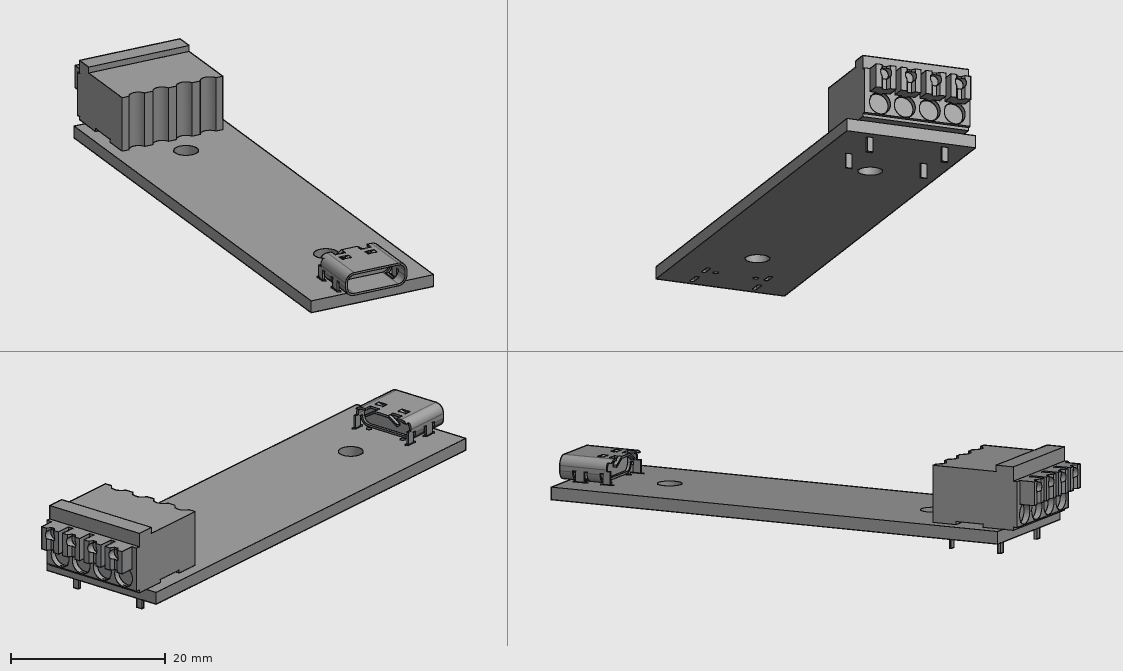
import cadquery as cq

part_length = 69.7

board_start = 4.1
board_end = 68.7
board_width = 18.0
board_thickness = 1.7
mounting_hole_diameter = 3.2
mounting_hole_positions = (18.0, 56.05)
locating_hole_diameter = 0.7
locating_hole_x = 63.4
locating_hole_spacing = 5.6

pole_count = 4
pole_pitch = 3.5
block_start = 2.65
block_end = 14.3
block_width = 14.8
block_height = 7.5
ridge_height = 8.4
ridge_end = 5.15
face_plate_start = 2.1
face_plate_bottom = 0.4
underside_notch_start = 7.05
underside_notch_end = 10.95
underside_notch_height = 0.4
scallop_chord = 2.3
scallop_depth = 0.8

wire_hole_radius = 1.45
wire_hole_height = 1.95
wire_hole_depth = 0.85
lever_width = 2.8
lever_bottom = 3.35
lever_top = 6.5
lever_groove_mouth = 1.2
lever_groove_floor = 0.55
lever_groove_depth = 0.55
probe_hole_radius = 0.8
probe_hole_height = 5.5
probe_hole_depth = 1.1

pin_rows = ((5.6, 0.4), (12.6, 0.2))
pin_width = 0.85
pin_length = 1.95

shell_start = 62.4
shell_width = 9.0
shell_height = 3.2
shell_corner_radius = 1.25
shell_wall = 0.3
floor_start = 63.9
inner_wall_start = 64.3
inner_wall_thickness = 1.1
rear_notch_length = 0.55
rear_notch_bottom = 1.75
rear_notch_top = 2.8

shell_legs = (
    (shell_start, 63.45, shell_start, floor_start),
    (66.2, 67.4, 65.75, 67.85),
)
leg_opening_bottom = 0.2
leg_opening_top = 1.4
leg_opening_depth = 1.05
leg_slot_clearance = 0.4
leg_slot_width = 0.55

window_offset = 1.9
window_width = 1.45
window_length = 1.05
tab_length = 0.55
tab_drop = 0.9
dimple_start = 64.35
dimple_length = 0.85
dimple_width = 1.3
dimple_depth = 0.2

pole_positions = [(i - (pole_count - 1) / 2) * pole_pitch for i in range(pole_count)]


def box(x_start, x_end, y_start, y_end, z_start, z_end):
    """Axis-aligned block between the given limits."""
    size = (x_end - x_start, y_end - y_start, z_end - z_start)
    return cq.Workplane("XY").box(*size, centered=False).translate((x_start, y_start, z_start))


def centred_box(x_start, x_end, y_centre, width, z_start, z_end):
    """Block whose width is centred on y_centre."""
    return box(x_start, x_end, y_centre - width / 2, y_centre + width / 2, z_start, z_end)


def segment_radius(chord, depth):
    """Radius of a circular arc from its chord and its depth."""
    return (chord ** 2 / 4 + depth ** 2) / (2 * depth)


def x_cylinder(x_start, length, y, z, radius):
    """Cylinder running along +X."""
    return cq.Workplane("YZ", origin=(x_start, y, z)).circle(radius).extrude(length)


def make_board():
    board = centred_box(board_start, board_end, 0, board_width, -board_thickness, 0)
    mounting_holes = cq.Workplane("XY").pushPoints([(x, 0) for x in mounting_hole_positions])
    board = board.cut(mounting_holes.circle(mounting_hole_diameter / 2).extrude(-board_thickness))
    locating_points = [(locating_hole_x, side * locating_hole_spacing / 2) for side in (1, -1)]
    locating_holes = cq.Workplane("XY").pushPoints(locating_points)
    board = board.cut(locating_holes.circle(locating_hole_diameter / 2).extrude(-board_thickness))
    for leg_start, leg_end, _, _ in shell_legs:
        slot_length = leg_end - leg_start + 2 * leg_slot_clearance
        slot_y = (shell_width - shell_wall) / 2
        slots = (
            cq.Workplane("XY", origin=((leg_start + leg_end) / 2, 0, 0))
            .pushPoints([(0, slot_y), (0, -slot_y)])
            .slot2D(slot_length, leg_slot_width)
            .extrude(-board_thickness)
        )
        board = board.cut(slots)
    return board


def make_lever(y):
    """Release lever with a tapered groove down its front and a round probe hole."""
    half_width = lever_width / 2
    half_mouth = lever_groove_mouth / 2
    half_floor = lever_groove_floor / 2
    outline = [
        (0, half_mouth),
        (0, half_width),
        (block_start, half_width),
        (block_start, -half_width),
        (0, -half_width),
        (0, -half_mouth),
        (lever_groove_depth, -half_floor),
        (lever_groove_depth, half_floor),
    ]
    lever = (
        cq.Workplane("XY", origin=(0, y, lever_bottom))
        .polyline(outline)
        .close()
        .extrude(lever_top - lever_bottom)
    )
    return lever.cut(x_cylinder(0, probe_hole_depth, y, probe_hole_height, probe_hole_radius))


def make_terminal_block():
    profile = [
        (block_start, 0),
        (block_start, face_plate_bottom),
        (face_plate_start, face_plate_bottom),
        (face_plate_start, lever_top),
        (block_start, lever_top),
        (block_start, ridge_height),
        (ridge_end, ridge_height),
        (ridge_end, block_height),
        (block_end, block_height),
        (block_end, 0),
        (underside_notch_end, 0),
        (underside_notch_end, underside_notch_height),
        (underside_notch_start, underside_notch_height),
        (underside_notch_start, 0),
    ]
    block = cq.Workplane("XZ").polyline(profile).close().extrude(block_width / 2, both=True)
    scallop_radius = segment_radius(scallop_chord, scallop_depth)
    scallop_x = block_end - scallop_depth + scallop_radius
    for y in pole_positions:
        scallop = cq.Workplane("XY", origin=(scallop_x, y, 0)).circle(scallop_radius)
        block = block.cut(scallop.extrude(block_height))
        wire_hole = x_cylinder(face_plate_start, wire_hole_depth, y, wire_hole_height, wire_hole_radius)
        block = block.cut(wire_hole)
        block = block.union(make_lever(y))
    return block


def make_pins():
    """Pins under the two outer poles, reaching up through the board into the block."""
    pins = cq.Workplane("XY")
    for x, thickness in pin_rows:
        for y in (pole_positions[0], pole_positions[-1]):
            pin = centred_box(
                x - thickness / 2, x + thickness / 2, y, pin_width, -board_thickness - pin_length, 0
            )
            pins = pins.union(pin)
    return pins


def shell_tube(inset):
    """Rounded bar along the socket, inset evenly from the shell's outer surface."""
    return (
        centred_box(shell_start, part_length, 0, shell_width - 2 * inset, inset, shell_height - inset)
        .edges("|X")
        .fillet(shell_corner_radius - inset)
    )


def make_leg(side, leg_start, leg_end):
    """Flat leg hanging from the shell's side wall down to the board's upper face."""
    leg_y = side * (shell_width - shell_wall) / 2
    return centred_box(leg_start, leg_end, leg_y, shell_wall, 0, rear_notch_bottom)


def make_roof_tab(side):
    """Strip folded down and outward from the inner edge of a rear window."""
    inner_y = side * (window_offset - window_width / 2)
    outer_y = side * (window_offset + window_width / 2)
    outline = [
        (inner_y, shell_height),
        (outer_y, shell_height - tab_drop),
        (outer_y, shell_height - tab_drop - shell_wall),
        (inner_y, shell_height - shell_wall),
    ]
    return cq.Workplane("YZ", origin=(shell_start, 0, 0)).polyline(outline).close().extrude(tab_length)


def make_usb_shell():
    bore = shell_tube(shell_wall)
    inner_wall_end = inner_wall_start + inner_wall_thickness
    inner_wall = bore.intersect(
        centred_box(inner_wall_start, inner_wall_end, 0, shell_width, 0, shell_height)
    )
    shell = shell_tube(0).cut(bore).union(inner_wall)
    rear_opening = centred_box(shell_start, floor_start, 0, shell_width, 0, leg_opening_top)
    shell = shell.cut(rear_opening)
    dimple_radius = segment_radius(dimple_width, dimple_depth)
    dimple_z = shell_height - dimple_depth + dimple_radius
    side_y = (shell_width - leg_opening_depth) / 2
    for side in (1, -1):
        rear_notch = centred_box(
            shell_start, shell_start + rear_notch_length,
            side * side_y, leg_opening_depth, rear_notch_bottom, rear_notch_top,
        )
        shell = shell.cut(rear_notch)
        for leg_start, leg_end, opening_start, opening_end in shell_legs:
            opening = centred_box(
                opening_start, opening_end,
                side * side_y, leg_opening_depth, leg_opening_bottom, leg_opening_top,
            )
            shell = shell.cut(opening).union(make_leg(side, leg_start, leg_end))
        window_y = side * window_offset
        window = centred_box(
            shell_start, shell_start + window_length,
            window_y, window_width, shell_height - shell_wall, shell_height,
        )
        shell = shell.cut(window).union(make_roof_tab(side))
        shell = shell.cut(x_cylinder(dimple_start, dimple_length, window_y, dimple_z, dimple_radius))
    return shell


result = make_board().union(make_terminal_block()).union(make_pins()).union(make_usb_shell())